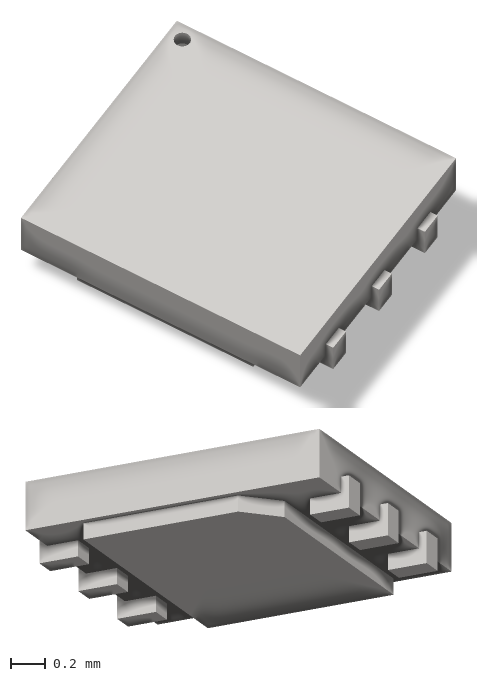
import cadquery as cq

overall_length = 2.0
body_length = 1.9
body_width = 1.7
overall_height = 0.4
standoff = 0.1

lead_foot_length = 0.25
lead_width = 0.14
lead_height = 0.2
lead_pitch = 0.5
leads_per_side = 3

pad_length = 1.2
pad_width = 1.6
pad_corner_chamfer = 0.2

marker_diameter = 0.1
marker_inset = 0.1
marker_depth = 0.1


def make_body():
    """Rectangular body with a round pin-one recess in its top face."""
    body_height = overall_height - standoff
    body = cq.Workplane("XY").workplane(offset=standoff).rect(body_length, body_width).extrude(body_height)
    marker = (
        cq.Workplane("XY")
        .workplane(offset=overall_height - marker_depth)
        .center(marker_inset - body_length / 2, body_width / 2 - marker_inset)
        .circle(marker_diameter / 2)
        .extrude(marker_depth)
    )
    return body.cut(marker)


def make_lead(side, y_center):
    """L-shaped lead: a foot under the body and a lip up its side (side is -1 or +1)."""
    outer = side * overall_length / 2
    wall = side * body_length / 2
    foot_end = outer - side * lead_foot_length
    profile = [
        (outer, 0),
        (outer, lead_height),
        (wall, lead_height),
        (wall, standoff),
        (foot_end, standoff),
        (foot_end, 0),
    ]
    lead = cq.Workplane("XZ").polyline(profile).close().extrude(lead_width / 2, both=True)
    return lead.translate((0, y_center, 0))


def make_pad():
    """Central pad under the body, with the corner nearest pin one cut off."""
    pad = cq.Workplane("XY").rect(pad_length, pad_width).extrude(standoff)
    return pad.edges("|Z").edges("<X").edges(">Y").chamfer(pad_corner_chamfer)


result = make_body().union(make_pad())
for side in (-1, 1):
    for index in range(leads_per_side):
        y_center = (index - (leads_per_side - 1) / 2) * lead_pitch
        result = result.union(make_lead(side, y_center))